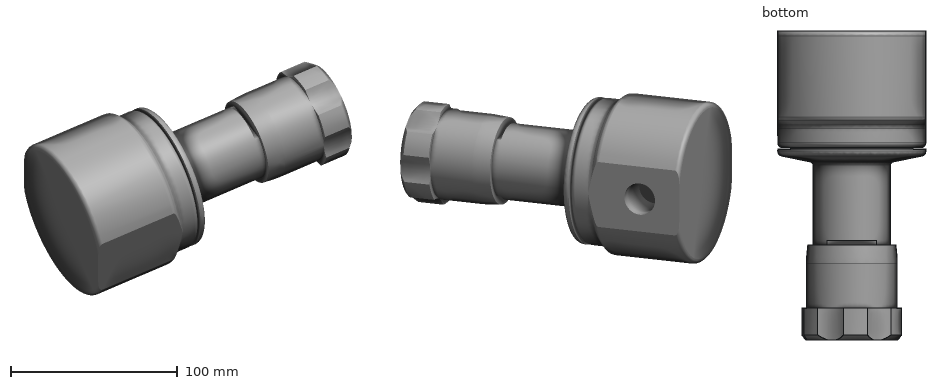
import math

import cadquery as cq

overall_length = 185.57

body_radius = 97.79 / 2
body_shoulder_y = 53.0
flat_width = 88.9
edge_fillet = 3.0

hole_diameter = 19.6
hole_depth = 25.0
hole_y = 25.4

disk_radius = flat_width / 2
disk_start_y = body_shoulder_y + body_radius - disk_radius
disk_end_y = 70.1

groove_width = 0.95
groove_floor_radius = 36.8

flange_start_y = disk_end_y + groove_width
flange_rim_width = 3.6
flange_rim_end_y = flange_start_y + flange_rim_width
flange_cone_angle = math.radians(11.5)

shank_radius = 23.15
shank_start_y = flange_rim_end_y + (disk_radius - shank_radius) * math.tan(flange_cone_angle)
shank_fillet = 2.0
slot_width = 2.7
slot_floor_height = 17.75

nut_length = 19.2
nut_start_y = overall_length - nut_length
nut_radius = 30.6
nut_chamfer = 3.1
collar_radius = 27.25
collar_end_radius = 26.4
collar_start_y = 128.4
barrel_length = 11.1
barrel_end_y = collar_start_y + barrel_length

flute_count = 6
flute_first_angle = 175.7
flute_half_angle = math.radians(16.4)
flute_floor_radius = collar_radius


def barrel_mid_point():
    """Middle of the arc that is tangent to the collar and ends at its smaller radius."""
    drop = collar_radius - collar_end_radius
    arc_radius = (barrel_length**2 + drop**2) / (2 * drop)
    half_sweep = math.asin(barrel_length / arc_radius) / 2
    mid_radius = collar_radius - arc_radius * (1 - math.cos(half_sweep))
    return mid_radius, barrel_end_y - arc_radius * math.sin(half_sweep)


def make_turned_blank():
    """Revolve the half outline (radius, Y) about the Y axis."""
    outline = (
        cq.Workplane("XY")
        .moveTo(0, 0)
        .lineTo(body_radius, 0)
        .lineTo(body_radius, body_shoulder_y)
        .lineTo(disk_radius, disk_start_y)
        .lineTo(disk_radius, disk_end_y)
        .lineTo(groove_floor_radius, disk_end_y)
        .lineTo(groove_floor_radius, flange_start_y)
        .lineTo(disk_radius, flange_start_y)
        .lineTo(disk_radius, flange_rim_end_y)
        .lineTo(shank_radius, shank_start_y)
        .lineTo(shank_radius, collar_start_y)
        .lineTo(collar_end_radius, collar_start_y)
        .threePointArc(barrel_mid_point(), (collar_radius, barrel_end_y))
        .lineTo(collar_radius, nut_start_y)
        .lineTo(nut_radius, nut_start_y)
        .lineTo(nut_radius, overall_length - nut_chamfer)
        .lineTo(nut_radius - nut_chamfer, overall_length)
        .lineTo(0, overall_length)
        .close()
    )
    return outline.revolve(360, (0, 0, 0), (0, 1, 0))


def fillet_ring(solid, ring_radius, ring_y, fillet_radius):
    """Round the circular edge of the given radius at the given Y."""
    tolerance = 0.01
    rings = solid.edges("%CIRCLE").filter(
        lambda edge: abs(edge.radius() - ring_radius) < tolerance
        and abs(edge.arcCenter().y - ring_y) < tolerance
    )
    return rings.fillet(fillet_radius)


def add_ring_fillets(solid):
    solid = fillet_ring(solid, body_radius, 0, edge_fillet)
    solid = fillet_ring(solid, body_radius, body_shoulder_y, edge_fillet)
    solid = fillet_ring(solid, disk_radius, disk_start_y, edge_fillet)
    solid = fillet_ring(solid, disk_radius, disk_end_y, edge_fillet)
    solid = fillet_ring(solid, disk_radius, flange_rim_end_y, edge_fillet)
    return fillet_ring(solid, shank_radius, shank_start_y, shank_fillet)


def cut_body_flats(solid):
    """Trim the body to two parallel flats at +X and -X."""
    trim = cq.Workplane("XY", origin=(flat_width / 2, 0, 0)).box(
        body_radius, disk_end_y, 2 * body_radius, centered=(False, False, True)
    )
    return solid.cut(trim).cut(trim.mirror("YZ"))


def cut_cross_hole(solid):
    hole = (
        cq.Workplane("YZ", origin=(-flat_width / 2, hole_y, 0))
        .circle(hole_diameter / 2)
        .extrude(hole_depth)
    )
    return solid.cut(hole)


def cut_wrench_slots(solid):
    """Cut a flat-floored slot on the +Z and -Z sides of the shank, against the collar."""
    slot = cq.Workplane("XY", origin=(0, collar_start_y - slot_width, slot_floor_height)).box(
        2 * shank_radius, slot_width, shank_radius, centered=(True, False, False)
    )
    return solid.cut(slot).cut(slot.mirror("XY"))


def cut_nut_flutes(solid):
    """Cut evenly spaced concave flutes along the nut."""
    half_chord = nut_radius * math.sin(flute_half_angle)
    depth = nut_radius * math.cos(flute_half_angle) - flute_floor_radius
    cutter_radius = (half_chord**2 + depth**2) / (2 * depth)
    flute = (
        cq.Workplane("ZX", origin=(0, nut_start_y, 0))
        .center(0, flute_floor_radius + cutter_radius)
        .circle(cutter_radius)
        .extrude(nut_length)
    )
    for index in range(flute_count):
        angle = flute_first_angle + index * 360 / flute_count
        solid = solid.cut(flute.rotate((0, 0, 0), (0, 1, 0), angle))
    return solid


part = add_ring_fillets(make_turned_blank())
part = cut_body_flats(part)
part = cut_cross_hole(part)
part = cut_wrench_slots(part)
result = cut_nut_flutes(part)